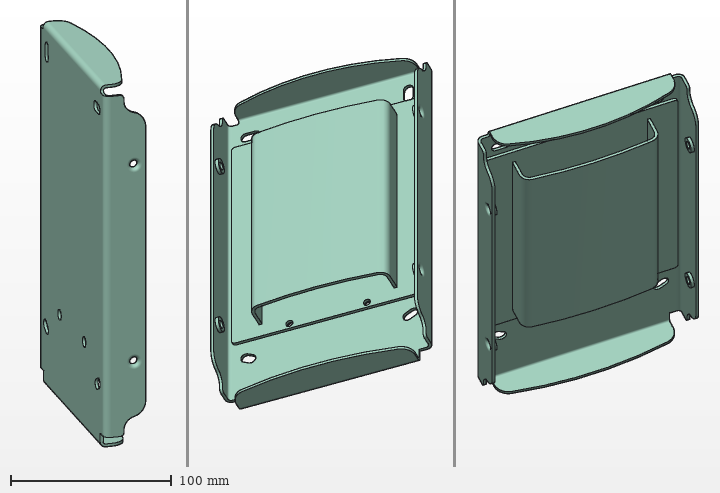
import cadquery as cq
import math

WIDTH = 139.5
DEPTH = 27.0
HEIGHT = 240.0
SHEET = 2.0
BEND_RADIUS = 4.3
FLANGE_BEND_RADIUS = 3.5
HALF_WIDTH = WIDTH / 2

WALL_BOTTOM = 9.4
WALL_TOP = 235.2
WALL_END_DEPTH = 12.7
WALL_CORNER_RADIUS = 2.5
WALL_END_STRAIGHT = 1.7
WALL_STEP_HEIGHT = 18.0
CONCAVE_RADIUS = 8.5

TOP_FLANGE_HALF_WIDTH = 61.2
TOP_FLANGE_DEPTH = 24.2
TOP_ARC_RADIUS = 182.5
BOTTOM_FLANGE_HALF_WIDTH = 60.5
BOTTOM_FLANGE_DEPTH = 22.3
BOTTOM_ARC_RADIUS = 276.0
FLANGE_CORNER_RADIUS = 9.5
RELIEF_RADIUS = 1.08

SLOT_WIDTH = 6.5
TOP_SLOT_LENGTH = 13.0
TOP_SLOT_X = 53.3
TOP_SLOT_Z = 222.7
BOTTOM_SLOT_LENGTH = 10.5
BOTTOM_SLOT_X = 54.7
BOTTOM_SLOT_Z = 40.3
BOTTOM_SLOT_TILT = 28.0

SCREW_X = 26.2
SCREW_Z = 58.0
CLEARANCE_DIAMETER = 6.7
SCREW_DIAMETER = 4.5

COLLAR_DIAMETER = 9.8
COLLAR_HEIGHT = 2.2
COLLAR_HOLE_DIAMETER = 5.0
COLLAR_MOUTH_RADIUS = 2.5
COLLAR_Y = 19.7
COLLAR_HEIGHTS = (57.8, 188.2)

PLATE_HALF_WIDTH = 65.3
PLATE_BOTTOM = 54.0
PLATE_TOP = 215.3
PLATE_CORNER_RADIUS = 2.5

COVER_HALF_WIDTH = 46.5
COVER_CROWN_DEPTH = 24.0
COVER_ARC_RADIUS = 343.2
COVER_CORNER_RADIUS = 6.7
COVER_END_INSET = 9.5


def arched_prism(half_width, base, crown, arc_radius, bottom, height):
    """Upright prism over an XY outline with straight sides and an arched far edge."""
    shoulder = crown - arc_radius + math.sqrt(arc_radius**2 - half_width**2)
    return (
        cq.Workplane("XY", origin=(0, 0, bottom))
        .moveTo(-half_width, base)
        .lineTo(-half_width, shoulder)
        .threePointArc((0, crown), (half_width, shoulder))
        .lineTo(half_width, base)
        .close()
        .extrude(height)
    )


def panel_plane(x, z):
    """Workplane on the back face of the housing, with its normal pointing outward."""
    return cq.Workplane("XZ", origin=(x, 0, z))


def wall_channel():
    """Back panel with both side walls, bent as one U section."""
    height = WALL_TOP - WALL_BOTTOM
    outer = cq.Workplane("XY").rect(WIDTH, 2 * DEPTH).extrude(height)
    outer = outer.edges("|Z and <Y").fillet(BEND_RADIUS).translate((0, DEPTH, WALL_BOTTOM))
    inner = cq.Workplane("XY").rect(WIDTH - 2 * SHEET, 2 * DEPTH).extrude(height)
    inner = inner.edges("|Z and <Y").fillet(BEND_RADIUS - SHEET)
    return outer.cut(inner.translate((0, DEPTH + SHEET, WALL_BOTTOM)))


def wall_outline():
    """Side profile of the walls, with an S-shaped step at both ends."""
    middle = (WALL_BOTTOM + WALL_TOP) / 2
    corner_y = WALL_END_DEPTH - WALL_CORNER_RADIUS
    corner_z = WALL_TOP - WALL_CORNER_RADIUS
    corner_reach = WALL_CORNER_RADIUS * math.sqrt(0.5)

    step_width = DEPTH - WALL_END_DEPTH
    radius_sum = (step_width**2 + WALL_STEP_HEIGHT**2) / (2 * step_width)
    convex_radius = radius_sum - CONCAVE_RADIUS
    step_angle = 2 * math.atan(step_width / WALL_STEP_HEIGHT)
    step_start_z = corner_z - WALL_END_STRAIGHT
    step_end_z = step_start_z - WALL_STEP_HEIGHT

    def concave_point(angle):
        drop = CONCAVE_RADIUS * math.sin(angle)
        return (WALL_END_DEPTH + CONCAVE_RADIUS * (1 - math.cos(angle)), step_start_z - drop)

    def convex_point(angle):
        rise = convex_radius * math.sin(angle)
        return (DEPTH - convex_radius * (1 - math.cos(angle)), step_end_z + rise)

    half = (
        cq.Workplane("YZ")
        .moveTo(0, middle)
        .lineTo(0, WALL_TOP)
        .lineTo(corner_y, WALL_TOP)
        .threePointArc((corner_y + corner_reach, corner_z + corner_reach), (WALL_END_DEPTH, corner_z))
        .lineTo(WALL_END_DEPTH, step_start_z)
        .threePointArc(concave_point(step_angle / 2), concave_point(step_angle))
        .threePointArc(convex_point(step_angle / 2), (DEPTH, step_end_z))
        .lineTo(DEPTH, middle)
        .close()
        .extrude(HALF_WIDTH, both=True)
    )
    return half.union(half.mirror("XY", (0, 0, middle)))


def bent_strip(half_width):
    """L section at the bottom: a strip of back panel bent into a flange along +Y."""
    outer = cq.Workplane("YZ").rect(2 * DEPTH, 2 * DEPTH).extrude(half_width, both=True)
    outer = outer.edges("|X and <Y and <Z").fillet(FLANGE_BEND_RADIUS)
    inner = cq.Workplane("YZ").rect(2 * DEPTH, 2 * DEPTH).extrude(half_width, both=True)
    inner = inner.edges("|X and <Y and <Z").fillet(FLANGE_BEND_RADIUS - SHEET)
    strip = outer.cut(inner.translate((0, SHEET, SHEET))).translate((0, DEPTH, DEPTH))
    keep = cq.Workplane("XY").box(WIDTH, 2 * DEPTH, 2 * WALL_BOTTOM)
    return strip.intersect(keep.translate((0, DEPTH, 0)))


def flange(half_width, depth, arc_radius):
    """Bottom flange with rounded corners and one long arc as its free edge."""
    blank = arched_prism(half_width, 0, depth, arc_radius, 0, WALL_BOTTOM)
    blank = blank.edges("|Z and (not <Y)").fillet(FLANGE_CORNER_RADIUS)
    return bent_strip(half_width).intersect(blank)


def collar(z, side):
    """Solid collar on the inside of a side wall; side is -1 or +1."""
    length = SHEET + COLLAR_HEIGHT
    blank = cq.Workplane("YZ").circle(COLLAR_DIAMETER / 2).extrude(-side * length)
    return blank.translate((side * HALF_WIDTH, COLLAR_Y, z))


def collar_bore(z, side):
    """Bore of a collar, widened by a rounded mouth at the outer face of the wall."""
    length = SHEET + COLLAR_HEIGHT
    bore_radius = COLLAR_HOLE_DIAMETER / 2
    mouth_radius = bore_radius + COLLAR_MOUTH_RADIUS
    inset = COLLAR_MOUTH_RADIUS * (1 - math.sqrt(0.5))
    bore = (
        cq.Workplane("XY")
        .lineTo(0, mouth_radius)
        .threePointArc((inset, bore_radius + inset), (COLLAR_MOUTH_RADIUS, bore_radius))
        .lineTo(length, bore_radius)
        .lineTo(length, 0)
        .close()
        .revolve(360, (0, 0, 0), (1, 0, 0))
    )
    if side > 0:
        bore = bore.mirror("YZ")
    return bore.translate((side * HALF_WIDTH, COLLAR_Y, z))


def panel_slot(x, z, length, angle):
    """Cutter for a round-ended slot through the back panel."""
    return panel_plane(x, z).slot2D(length, SLOT_WIDTH, angle).extrude(-SHEET)


def screw_hole(x, diameter, length):
    """Cutter for a round hole that starts at the back face of the housing."""
    return panel_plane(x, SCREW_Z).circle(diameter / 2).extrude(-length)


def round_reliefs(body):
    """Round the inner corners between the wall tops and the top flange."""
    near_top = cq.selectors.BoxSelector(
        (-HALF_WIDTH, 0, WALL_TOP - RELIEF_RADIUS),
        (HALF_WIDTH, SHEET, WALL_TOP + RELIEF_RADIUS),
    )
    return body.edges(near_top).edges("|Y").fillet(RELIEF_RADIUS)


def make_housing():
    """Bent sheet housing: panel, two walls, two flanges, slots and drawn holes."""
    body = wall_channel().intersect(wall_outline())
    bottom = flange(BOTTOM_FLANGE_HALF_WIDTH, BOTTOM_FLANGE_DEPTH, BOTTOM_ARC_RADIUS)
    top = flange(TOP_FLANGE_HALF_WIDTH, TOP_FLANGE_DEPTH, TOP_ARC_RADIUS)
    body = body.union(bottom).union(top.mirror("XY", (0, 0, HEIGHT / 2)))
    body = round_reliefs(body)

    for z in COLLAR_HEIGHTS:
        for side in (-1, 1):
            body = body.union(collar(z, side)).cut(collar_bore(z, side))

    body = body.cut(panel_slot(-TOP_SLOT_X, TOP_SLOT_Z, TOP_SLOT_LENGTH, 90))
    body = body.cut(panel_slot(TOP_SLOT_X, TOP_SLOT_Z, TOP_SLOT_LENGTH, 0))
    for side in (-1, 1):
        tilt = side * BOTTOM_SLOT_TILT
        body = body.cut(panel_slot(side * BOTTOM_SLOT_X, BOTTOM_SLOT_Z, BOTTOM_SLOT_LENGTH, tilt))
        body = body.cut(screw_hole(side * SCREW_X, CLEARANCE_DIAMETER, SHEET))
    return body


def make_mounting_plate():
    """Flat plate with rounded corners and two screw holes."""
    height = PLATE_TOP - PLATE_BOTTOM
    plate = cq.Workplane("XZ").rect(2 * PLATE_HALF_WIDTH, height).extrude(-SHEET)
    plate = plate.edges("|Y").fillet(PLATE_CORNER_RADIUS)
    plate = plate.translate((0, SHEET, (PLATE_BOTTOM + PLATE_TOP) / 2))
    for side in (-1, 1):
        plate = plate.cut(screw_hole(side * SCREW_X, SCREW_DIAMETER, 2 * SHEET))
    return plate


def make_cover():
    """Arched sheet cover, open at its ends and toward the mounting plate."""
    foot = 2 * SHEET
    bottom = PLATE_BOTTOM + COVER_END_INSET
    height = PLATE_TOP - COVER_END_INSET - bottom
    outer = arched_prism(COVER_HALF_WIDTH, foot, COVER_CROWN_DEPTH, COVER_ARC_RADIUS, bottom, height)
    outer = outer.edges("|Z and (not <Y)").fillet(COVER_CORNER_RADIUS)
    inner = arched_prism(
        COVER_HALF_WIDTH - SHEET, foot, COVER_CROWN_DEPTH - SHEET, COVER_ARC_RADIUS - SHEET, bottom, height
    )
    inner = inner.edges("|Z and (not <Y)").fillet(COVER_CORNER_RADIUS - SHEET)
    return outer.cut(inner)


housing = make_housing()
mounting_plate = make_mounting_plate()
cover = make_cover()

result = cq.Compound.makeCompound([housing.solids().val(), mounting_plate.solids().val(), cover.solids().val()])